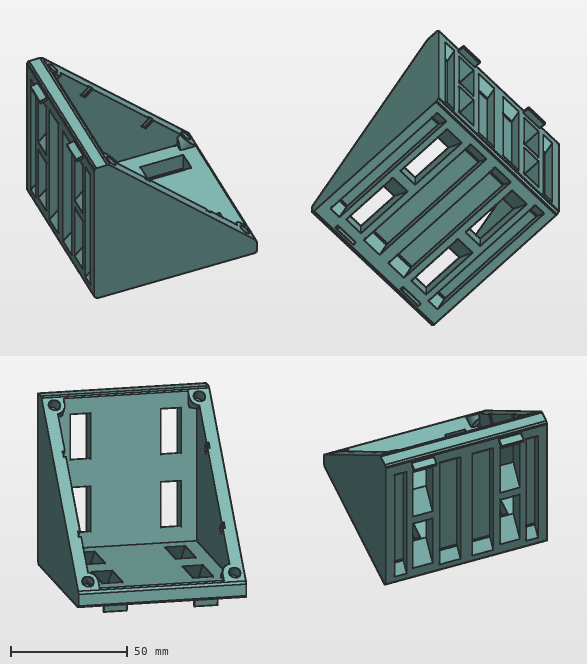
import cadquery as cq
import math


WIDTH = 74.0
SIZE = 76.0
FLAT_END = 6.83
OUTER_CHAMFER = 0.95
CORNER_CHAMFER = 1.4
BEVEL_EASING = 0.3
SLOPE_CHAMFER = 0.75
WALL = 8.0
CHEEK = 5.75
SLOPE_SUM = SIZE + FLAT_END

WINDOW_WIDTH = 9.0
WINDOW_LENGTH = 20.0
WINDOW_X = 20.0
WINDOW_STARTS = (15.1, 47.6)
WINDOWS_END = WINDOW_STARTS[-1] + WINDOW_LENGTH

SLOTS = ((7.5, 9.6), (30.1, 5.5))
SLOT_START = 4.8
SLOT_END = 68.9
SLOT_DEPTH = 4.4
SLOT_FLOOR_CHAMFER = 0.4

HOOK_X = WINDOW_X
HOOK_WIDTH = 10.2
HOOK_THICKNESS = 1.45
HOOK_REACH = 3.38
HOOK_ROOT = 73.6
HOOK_TILT = math.radians(15)
HOOK_EMBED = 1.0

BOSS_X = 32.0
BOSS_RADIUS = 4.55
BOSS_SPACING = 88.0
BOSS_MIDDLE_Y = 41.2
HOLE_DIAMETER = 5.0
HOLE_DEPTH = 6.0
SHIFTED_HOLE_X = -32.8

NOTCH_SPACING = 40.0
NOTCH_WIDTH = 2.8
NOTCH_CUT = 1.0
NOTCH_DEPTH = 5.0

COS45 = math.sqrt(0.5)
INNER_X = WIDTH / 2 - CHEEK
LOWER_BOSS_Y = BOSS_MIDDLE_Y + BOSS_SPACING / 2 * COS45
UPPER_BOSS_Y = BOSS_MIDDLE_Y - BOSS_SPACING / 2 * COS45


def prism(points, x_middle, width):
    """Extrude a (y, z) outline along X, centred on x_middle."""
    plane = cq.Workplane("YZ", origin=(x_middle - width / 2, 0, 0))
    return plane.polyline(points).close().extrude(width)


def mirrored(solid):
    """Reflection in the plane y = z, from the front wall to the bottom wall."""
    return solid.mirror(cq.Vector(0, 1, -1))


def slope_plane(x, y):
    """Workplane on the slope: local x along X, local y towards +Y, normal outwards."""
    return cq.Workplane(cq.Plane((x, y, SLOPE_SUM - y), xDir=(1, 0, 0), normal=(0, 1, 1)))


def make_body():
    """Solid wedge with bevelled outer edges."""
    bevel = OUTER_CHAMFER
    leg = SLOPE_CHAMFER * COS45
    easing = BEVEL_EASING * COS45
    upper_half = [
        (0, CORNER_CHAMFER + BEVEL_EASING),
        (0, SIZE - bevel - BEVEL_EASING),
        (easing, SIZE - bevel + easing),
        (bevel, SIZE),
        (FLAT_END - SLOPE_CHAMFER, SIZE),
        (FLAT_END + leg, SIZE - leg),
    ]
    lower_half = [(z, y) for y, z in reversed(upper_half)]
    corner = [(CORNER_CHAMFER - easing, easing), (easing, CORNER_CHAMFER - easing)]
    return prism(upper_half + lower_half + corner, 0, WIDTH)


def make_pocket():
    """Square prism reaching past the slope, so it leaves only the walls and cheeks."""
    far = SLOPE_SUM - WALL
    outline = [(WALL, WALL), (far, WALL), (far, far), (WALL, far)]
    return prism(outline, 0, 2 * INNER_X)


def make_lower_boss(side, centre_y):
    """Boss at the bottom wall: rounded towards the pocket, cut off level with the windows."""
    plane = slope_plane(side * BOSS_X, centre_y)
    post = plane.circle(BOSS_RADIUS).extrude(-SIZE)
    backing = plane.center(0, SIZE / 2).rect(2 * BOSS_RADIUS, SIZE).extrude(-SIZE)
    end_block = cq.Workplane("XY").box(WIDTH, SIZE - WINDOWS_END, SIZE, centered=(True, False, False))
    end_block = end_block.translate((0, WINDOWS_END, 0))
    return post.union(backing).intersect(end_block).intersect(make_body())


def make_window(x, start):
    """Window through the front wall, flared outwards at the end nearer the corner."""
    end = start + WINDOW_LENGTH
    return prism([(0, start - WALL), (WALL, start), (WALL, end), (0, end)], x, WINDOW_WIDTH)


def make_slot(x, width):
    """Blind slot in the front wall with 45 degree ends and bevelled floor edges."""
    leg = SLOT_FLOOR_CHAMFER * COS45
    slope_end = SLOT_DEPTH - leg
    floor_end = SLOT_DEPTH + SLOT_FLOOR_CHAMFER
    outline = [
        (0, SLOT_START),
        (slope_end, SLOT_START + slope_end),
        (SLOT_DEPTH, SLOT_START + floor_end),
        (SLOT_DEPTH, SLOT_END - floor_end),
        (slope_end, SLOT_END - slope_end),
        (0, SLOT_END),
    ]
    return prism(outline, x, width)


def make_hook(x):
    """Tilted tongue standing out of the front wall."""
    along = (-math.cos(HOOK_TILT), -math.sin(HOOK_TILT))
    across = (HOOK_THICKNESS * math.sin(HOOK_TILT), -HOOK_THICKNESS * math.cos(HOOK_TILT))
    length = HOOK_REACH / math.cos(HOOK_TILT)
    root = (-HOOK_EMBED * along[0], HOOK_ROOT - HOOK_EMBED * along[1])
    tip = (length * along[0], HOOK_ROOT + length * along[1])
    outline = [
        root,
        tip,
        (tip[0] + across[0], tip[1] + across[1]),
        (root[0] + across[0], root[1] + across[1]),
    ]
    return prism(outline, x, HOOK_WIDTH)


def make_hole(x, y):
    return slope_plane(x, y).circle(HOLE_DIAMETER / 2).extrude(-HOLE_DEPTH)


def make_notch(side, offset):
    y = SLOPE_SUM / 2 + offset * COS45
    plane = slope_plane(side * INNER_X, y)
    return plane.rect(2 * NOTCH_CUT, NOTCH_WIDTH).extrude(-NOTCH_DEPTH)


body = make_body().cut(make_pocket())
for side in (-1, 1):
    body = body.union(make_lower_boss(side, LOWER_BOSS_Y))
    body = body.union(mirrored(make_lower_boss(side, SLOPE_SUM - UPPER_BOSS_Y)))

cuts = []
for side in (-1, 1):
    cuts += [make_window(side * WINDOW_X, start) for start in WINDOW_STARTS]
    cuts += [make_slot(side * x, width) for x, width in SLOTS]
cuts += [mirrored(cut) for cut in cuts]

cuts.append(make_hole(SHIFTED_HOLE_X, LOWER_BOSS_Y))
cuts.append(make_hole(BOSS_X, LOWER_BOSS_Y))
for side in (-1, 1):
    cuts.append(make_hole(side * BOSS_X, UPPER_BOSS_Y))
    for offset in (-NOTCH_SPACING / 2, NOTCH_SPACING / 2):
        cuts.append(make_notch(side, offset))

for cut in cuts:
    body = body.cut(cut)

for side in (-1, 1):
    hook = make_hook(side * HOOK_X)
    body = body.union(hook).union(mirrored(hook))

result = body